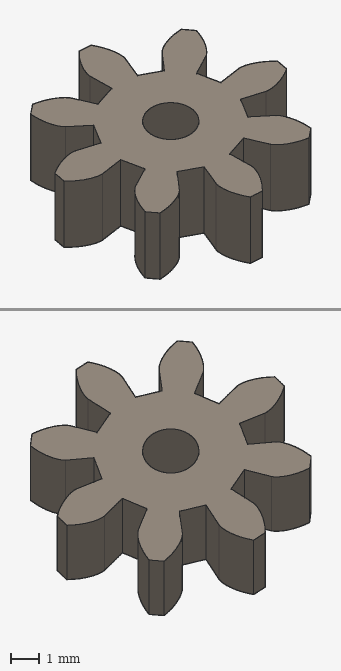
import cadquery as cq
import math

module = 1.0
tooth_count = 8
pressure_angle = math.radians(20)
addendum = module
dedendum = 1.25 * module
face_width = 3.125
bore_diameter = 2.0
flank_segments = 6

pitch_radius = module * tooth_count / 2
tip_radius = pitch_radius + addendum
root_radius = pitch_radius - dedendum
base_radius = pitch_radius * math.cos(pressure_angle)

tooth_pitch = 2 * math.pi / tooth_count
involute_at_pitch = math.tan(pressure_angle) - pressure_angle
base_half_angle = tooth_pitch / 4 + involute_at_pitch


def polar(radius, angle):
    return (radius * math.cos(angle), radius * math.sin(angle))


def flank_points(centre_angle, side):
    """Involute from base circle to tip; side is -1 or +1 about the tooth centreline."""
    tip_roll = math.sqrt((tip_radius / base_radius) ** 2 - 1)
    points = []
    for i in range(flank_segments + 1):
        roll = tip_roll * i / flank_segments
        radius = base_radius * math.sqrt(1 + roll**2)
        half_angle = base_half_angle - (roll - math.atan(roll))
        points.append(polar(radius, centre_angle + side * half_angle))
    return points


def add_tooth(outline, centre_angle):
    """Gap floor, radial root side, flank, flat tip, flank and radial root side."""
    rising = flank_points(centre_angle, -1)
    falling = flank_points(centre_angle, 1)[::-1]
    outline = outline.lineTo(*polar(root_radius, centre_angle - base_half_angle))
    outline = outline.lineTo(*rising[0])
    outline = outline.spline(rising[1:], includeCurrent=True)
    outline = outline.lineTo(*falling[0])
    outline = outline.spline(falling[1:], includeCurrent=True)
    return outline.lineTo(*polar(root_radius, centre_angle + base_half_angle))


def gear_blank():
    """Solid toothed disc, starting at the root behind the last tooth."""
    last_root = polar(root_radius, base_half_angle - tooth_pitch)
    outline = cq.Workplane("XY").moveTo(*last_root)
    for tooth in range(tooth_count):
        outline = add_tooth(outline, tooth * tooth_pitch)
    return outline.close().extrude(face_width)


def shaft_bore():
    return cq.Workplane("XY").circle(bore_diameter / 2).extrude(face_width)


result = gear_blank().cut(shaft_bore()).solids()